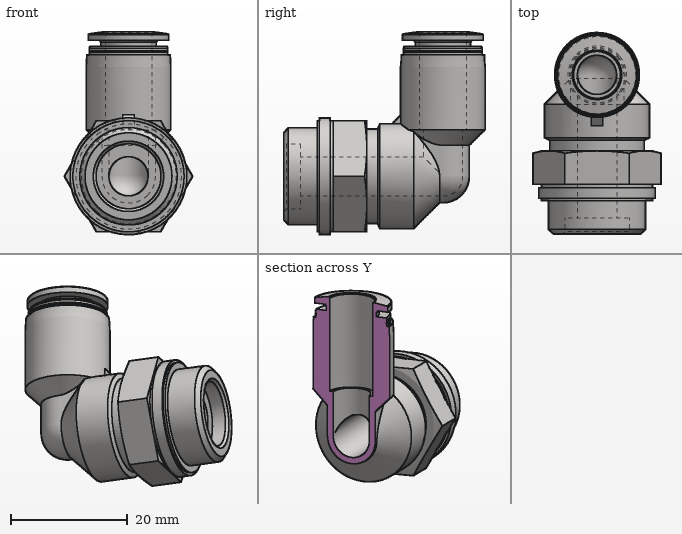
import cadquery as cq
import math


elbow_radius = 4.55
bore_radius = 6.7 / 2

socket_radius = 14.5 / 2
socket_top_radius = 14.3 / 2
collar_radius = 13.5 / 2
collar_top_radius = 13.2 / 2
collar_groove_radius = 13.25 / 2
sleeve_neck_radius = 9.5 / 2
sleeve_flare_radius = 10.0 / 2
cap_radius = 13.8 / 2
cap_face_radius = 13.5 / 2
tube_hole_radius = 8.0 / 2
tube_entry_radius = 8.45 / 2
socket_cone_start = 5.3
socket_bottom = 7.98
socket_taper_start = 18.7
socket_top = 20.75
groove_bottom = 21.15
groove_top = 21.45
collar_chamfer_start = 21.9
collar_top = 22.25
sleeve_flare_start = 22.95
cap_bottom = 23.2
cap_edge = 24.2
cap_face_edge = 24.35
cap_top = 24.7
tube_entry_depth = 0.2

hub_radius = 18.0 / 2
hub_neck_radius = 16.2 / 2
hex_flats = 19.0
hex_corner_radius = hex_flats / math.sqrt(3)
hex_chamfer_length = 0.38
seal_land_radius = 19.0 / 2
seal_radius = 20.0 / 2
stud_radius = 16.65 / 2
stud_tip_radius = 14.9 / 2
counterbore_radius = 11.1 / 2
counterbore_entry_radius = 12.05 / 2
hub_cone_start = 0.55
hub_start = hub_cone_start + hub_radius - elbow_radius
hub_shoulder_start = 10.75
hub_end = 11.17
hex_start = 13.0
hex_end = 18.7
seal_start = 19.25
seal_end = 21.1
seal_land_end = 21.48
stud_chamfer_length = 0.8
stud_end = 27.2
counterbore_depth = 2.8
counterbore_chamfer_length = 0.45

rib_width = 1.95
rib_top = 10.48
rib_reach = 8.75
rib_toe = 8.92


def revolve_z(profile):
    """Revolve (radius, height) points, closed onto the axis, about Z."""
    points = [(0, profile[0][1])] + profile + [(0, profile[-1][1])]
    return cq.Workplane("XZ").polyline(points).close().revolve(360, (0, 0, 0), (0, 1, 0))


def revolve_stud(profile):
    """Revolve (radius, distance) points about the stud axis, running toward -Y."""
    return revolve_z(profile).rotate((0, 0, 0), (1, 0, 0), 90)


def tube_socket():
    return revolve_z([
        (elbow_radius, 0),
        (elbow_radius, socket_cone_start),
        (socket_radius, socket_bottom),
        (socket_radius, socket_taper_start),
        (socket_top_radius, socket_top),
        (collar_radius, socket_top),
        (collar_radius, groove_bottom),
        (collar_groove_radius, groove_bottom),
        (collar_groove_radius, groove_top),
        (collar_radius, groove_top),
        (collar_radius, collar_chamfer_start),
        (collar_top_radius, collar_top),
        (sleeve_neck_radius, collar_top),
        (sleeve_neck_radius, sleeve_flare_start),
        (sleeve_flare_radius, cap_bottom),
        (cap_radius, cap_bottom),
        (cap_radius, cap_edge),
        (cap_face_radius, cap_face_edge),
        (tube_entry_radius, cap_top),
    ])


def stud():
    return revolve_stud([
        (elbow_radius, 0),
        (elbow_radius, hub_cone_start),
        (hub_radius, hub_start),
        (hub_radius, hub_shoulder_start),
        (hub_neck_radius, hub_end),
        (hub_neck_radius, hex_end),
        (seal_land_radius, hex_end),
        (seal_land_radius, seal_start),
        (seal_radius, seal_start),
        (seal_radius, seal_end),
        (seal_land_radius, seal_end),
        (seal_land_radius, seal_land_end),
        (stud_radius, seal_land_end),
        (stud_radius, stud_end - stud_chamfer_length),
        (stud_tip_radius, stud_end),
    ])


def hexagon():
    """Wrench hexagon with corners on X, its corners chamfered on the hub side."""
    prism = (
        cq.Workplane("XZ", origin=(0, -hex_start, 0))
        .polygon(6, 2 * hex_corner_radius)
        .extrude(hex_end - hex_start)
    )
    envelope = revolve_stud([
        (hex_flats / 2, hex_start),
        (hex_corner_radius, hex_start + hex_chamfer_length),
        (hex_corner_radius, hex_end),
    ])
    return prism.intersect(envelope)


def elbow():
    """Spherical corner and the flat-sided web filling the inside of the bend."""
    corner = cq.Workplane("XY").sphere(elbow_radius)
    web = cq.Workplane("XY").box(
        2 * elbow_radius, hub_start, socket_bottom, centered=(True, False, False)
    ).translate((0, -hub_start, 0))
    return corner.union(web)


def rib():
    return (
        cq.Workplane("YZ")
        .polyline([(0, 0), (-rib_reach, 0), (-rib_reach, rib_toe), (-socket_radius, rib_top), (0, rib_top)])
        .close()
        .extrude(rib_width / 2, both=True)
    )


def passage():
    """Bent bore with a stepped tube hole on top and a counterbore in the stud."""
    tube_side = revolve_z([
        (bore_radius, 0),
        (bore_radius, socket_bottom),
        (tube_hole_radius, socket_bottom),
        (tube_hole_radius, cap_top - tube_entry_depth),
        (tube_entry_radius, cap_top),
    ])
    stud_side = revolve_stud([
        (bore_radius, 0),
        (bore_radius, stud_end - counterbore_depth),
        (counterbore_radius, stud_end - counterbore_depth),
        (counterbore_radius, stud_end - counterbore_chamfer_length),
        (counterbore_entry_radius, stud_end),
    ])
    corner = cq.Workplane("XY").sphere(bore_radius)
    return corner.union(tube_side).union(stud_side)


body = tube_socket().union(stud()).union(hexagon()).union(elbow()).union(rib())
result = body.cut(passage())